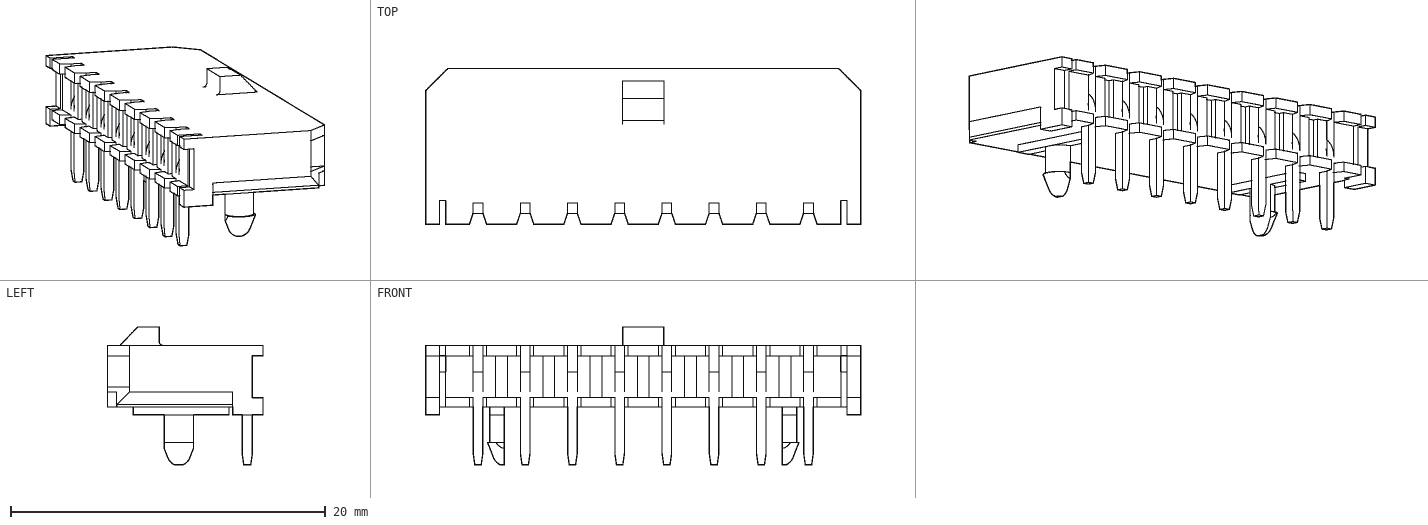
import cadquery as cq
import math


HOUSING_LENGTH = 27.65
HOUSING_DEPTH = 9.9
HOUSING_TOP = 4.42
HOUSING_BOTTOM = 0.49
ROOF_THICKNESS = 0.67
FLANGE_DEPTH = 0.68
FLANGE_TOP = 1.10
CORNER_CHAMFER = 1.4
SKIRT_CHAMFER = 0.78
SKIRT_TOP = 1.45
UPPER_NOTCH_FLOOR = 1.76
LOWER_NOTCH_DEPTH = 0.58

LEG_WIDTH = 0.88
LEG_DEPTH = 1.94
END_SLOT_WIDTH = 0.39
END_SLOT_DEPTH = 1.5
CHANNEL_FLOOR = 2.74

PIN_COUNT = 8
PIN_PITCH = 3.0
PIN_WIDTH = 0.62
PIN_THICKNESS = 0.66
PIN_TIP_Z = -3.17
PIN_TAPER_LENGTH = 0.7
PIN_TAPER = 0.1
BEND_START_Z = 1.49
PIN_SLOT_BACK = 1.36
BEND_END_Z = 2.74
NOTCH_FLARE = 0.23

GROOVE_WIDTH = 0.75
GROOVE_DEPTH = 0.38

LATCH_WIDTH = 2.62
LATCH_HEIGHT = 1.17
LATCH_FRONT = 6.6
LATCH_RAMP = 1.12
LATCH_TOP_LENGTH = 1.38
LATCH_FILLET = 0.24

PEG_FLAT_X = 8.82
PEG_Y = 5.36
PEG_RADIUS = 0.94
PEG_BARB_Z = -1.74
BARB_RADIUS = 1.09
BARB_END_Z = -2.73
BARB_END_RADIUS = 0.7
PEG_TIP_Z = PIN_TIP_Z
PEG_TIP_RADIUS = 0.27
PEG_TIP_BULGE = 0.06
FOOT_LENGTH = 6.1
FOOT_START = 2.16

HALF_LENGTH = HOUSING_LENGTH / 2
ROOF_UNDERSIDE = HOUSING_TOP - ROOF_THICKNESS
PIN_POSITIONS = [(i - (PIN_COUNT - 1) / 2) * PIN_PITCH for i in range(PIN_COUNT)]
SIDES = (-1, 1)
OVERCUT = 1.0


def block(x_range, y_range, z_range):
    """Axis-aligned box spanning the given ranges, each in either order."""
    spans = [sorted(r) for r in (x_range, y_range, z_range)]
    size = [high - low for low, high in spans]
    return cq.Workplane("XY").box(*size, centered=False).translate([low for low, _ in spans])


def housing_body():
    body = block((-HALF_LENGTH, HALF_LENGTH), (0, HOUSING_DEPTH), (HOUSING_BOTTOM, HOUSING_TOP))
    body = body.edges("|Z and >Y").chamfer(CORNER_CHAMFER)
    return body.cut(block((-HALF_LENGTH, HALF_LENGTH), (0, FLANGE_DEPTH), (FLANGE_TOP, ROOF_UNDERSIDE)))


def skirt_relief(side):
    """Chamfered cut along a lower side edge, running from the leg to the rear."""
    outer = side * (HALF_LENGTH + OVERCUT)
    inner = side * (HALF_LENGTH - SKIRT_CHAMFER)
    profile = [
        (outer, SKIRT_TOP),
        (side * HALF_LENGTH, SKIRT_TOP),
        (inner, SKIRT_TOP - SKIRT_CHAMFER),
        (inner, HOUSING_BOTTOM - OVERCUT),
        (outer, HOUSING_BOTTOM - OVERCUT),
    ]
    length = HOUSING_DEPTH - LEG_DEPTH + OVERCUT
    return cq.Workplane("XZ", origin=(0, LEG_DEPTH, 0)).polyline(profile).close().extrude(-length)


def rear_corner_notches(side):
    x_range = (side * (HALF_LENGTH - CORNER_CHAMFER), side * (HALF_LENGTH + OVERCUT))
    rear = HOUSING_DEPTH + OVERCUT
    upper = block(x_range, (HOUSING_DEPTH - CORNER_CHAMFER, rear), (UPPER_NOTCH_FLOOR, ROOF_UNDERSIDE))
    lower = block(x_range, (HOUSING_DEPTH - LOWER_NOTCH_DEPTH, rear), (HOUSING_BOTTOM - OVERCUT, SKIRT_TOP))
    return upper.union(lower)


def end_slot(side):
    """Open slot beside a leg, with a channel under the roof on to the rear."""
    x_outer = side * (HALF_LENGTH - LEG_WIDTH)
    x_range = (x_outer, x_outer - side * END_SLOT_WIDTH)
    slot = block(x_range, (-OVERCUT, END_SLOT_DEPTH), (-OVERCUT, HOUSING_TOP + OVERCUT))
    channel = block(x_range, (0, HOUSING_DEPTH + OVERCUT), (CHANNEL_FLOOR, ROOF_UNDERSIDE))
    return slot.union(channel)


def leg(side):
    x_range = (side * HALF_LENGTH, side * (HALF_LENGTH - LEG_WIDTH))
    foot = block(x_range, (0, LEG_DEPTH), (0, FLANGE_TOP))
    return foot.union(block(x_range, (FLANGE_DEPTH, LEG_DEPTH), (FLANGE_TOP, SKIRT_TOP)))


def pin_cutout(x):
    """Flared notch through both flanges, and the slot that takes the bent pin."""
    half = PIN_WIDTH / 2
    mouth = half + NOTCH_FLARE
    height = HOUSING_TOP + OVERCUT
    outline = [(x - mouth, 0), (x + mouth, 0), (x + half, FLANGE_DEPTH), (x - half, FLANGE_DEPTH)]
    notch = cq.Workplane("XY").polyline(outline).close().extrude(height)
    slot = block((x - half, x + half), (FLANGE_DEPTH, PIN_SLOT_BACK), (HOUSING_BOTTOM - OVERCUT, height))
    return notch.union(slot)


def pin_bend(x):
    """Pin inside its slot: upright below, curving back into the housing above."""
    rise = BEND_END_Z - BEND_START_Z
    run = PIN_SLOT_BACK - FLANGE_DEPTH
    radius = (rise**2 + run**2) / (2 * run)
    half_angle = math.asin(rise / radius) / 2
    mid = (
        FLANGE_DEPTH + radius * (1 - math.cos(half_angle)),
        BEND_START_Z + radius * math.sin(half_angle),
    )
    return (
        cq.Workplane("YZ", origin=(x - PIN_WIDTH / 2, 0, 0))
        .moveTo(PIN_SLOT_BACK, HOUSING_BOTTOM)
        .lineTo(FLANGE_DEPTH, HOUSING_BOTTOM)
        .lineTo(FLANGE_DEPTH, BEND_START_Z)
        .threePointArc(mid, (PIN_SLOT_BACK, BEND_END_Z))
        .close()
        .extrude(PIN_WIDTH)
    )


def pin_tail(x):
    """Solder tail with a tapered tip."""
    taper_top = PIN_TIP_Z + PIN_TAPER_LENGTH
    centre_y = FLANGE_DEPTH + PIN_THICKNESS / 2
    shaft = block(
        (x - PIN_WIDTH / 2, x + PIN_WIDTH / 2),
        (FLANGE_DEPTH, FLANGE_DEPTH + PIN_THICKNESS),
        (taper_top, HOUSING_BOTTOM),
    )
    tip = (
        cq.Workplane("XY", origin=(x, centre_y, taper_top))
        .rect(PIN_WIDTH, PIN_THICKNESS)
        .workplane(offset=-PIN_TAPER_LENGTH)
        .rect(PIN_WIDTH - 2 * PIN_TAPER, PIN_THICKNESS - 2 * PIN_TAPER)
        .loft()
    )
    return shaft.union(tip)


def groove(x):
    return block(
        (x - GROOVE_WIDTH / 2, x + GROOVE_WIDTH / 2),
        (FLANGE_DEPTH, FLANGE_DEPTH + GROOVE_DEPTH),
        (FLANGE_TOP, ROOF_UNDERSIDE),
    )


def latch():
    """Locking wedge: upright at the pin side, ramped toward the rear."""
    top = HOUSING_TOP + LATCH_HEIGHT
    ramp_start = LATCH_FRONT + LATCH_TOP_LENGTH
    arc_offset = LATCH_FILLET * (1 - math.sqrt(0.5))
    return (
        cq.Workplane("YZ", origin=(-LATCH_WIDTH / 2, 0, 0))
        .moveTo(LATCH_FRONT - LATCH_FILLET, HOUSING_TOP)
        .threePointArc(
            (LATCH_FRONT - arc_offset, HOUSING_TOP + arc_offset),
            (LATCH_FRONT, HOUSING_TOP + LATCH_FILLET),
        )
        .lineTo(LATCH_FRONT, top)
        .lineTo(ramp_start, top)
        .lineTo(ramp_start + LATCH_RAMP, HOUSING_TOP)
        .close()
        .extrude(LATCH_WIDTH)
    )


def peg(side):
    """Foot pad and half-round barbed peg, rounded at the tip."""
    flat_x = side * PEG_FLAT_X
    x_outer = flat_x + side * PEG_RADIUS
    foot = block((flat_x, x_outer), (FOOT_START, FOOT_START + FOOT_LENGTH), (0, HOUSING_BOTTOM))
    shaft = cq.Workplane("XY").circle(PEG_RADIUS).extrude(PEG_BARB_Z)
    barb = (
        cq.Workplane("XZ")
        .moveTo(0, PEG_BARB_Z)
        .lineTo(BARB_RADIUS, PEG_BARB_Z)
        .lineTo(BARB_END_RADIUS, BARB_END_Z)
        .sagittaArc((PEG_TIP_RADIUS, PEG_TIP_Z), PEG_TIP_BULGE)
        .lineTo(0, PEG_TIP_Z)
        .close()
        .revolve(360, (0, 0, 0), (0, 1, 0))
    )
    outer_half = block((0, side * 2 * BARB_RADIUS), (-PEG_RADIUS, PEG_RADIUS), (0, PEG_TIP_Z))
    half_peg = shaft.union(barb).intersect(outer_half).translate((flat_x, PEG_Y, 0))
    return foot.union(half_peg)


result = housing_body()
for side in SIDES:
    result = result.cut(skirt_relief(side)).cut(rear_corner_notches(side)).cut(end_slot(side))
    result = result.union(leg(side)).union(peg(side))

for x in PIN_POSITIONS:
    result = result.cut(pin_cutout(x)).union(pin_bend(x)).union(pin_tail(x))

for x in PIN_POSITIONS[:-1]:
    result = result.cut(groove(x + PIN_PITCH / 2))

result = result.union(latch())